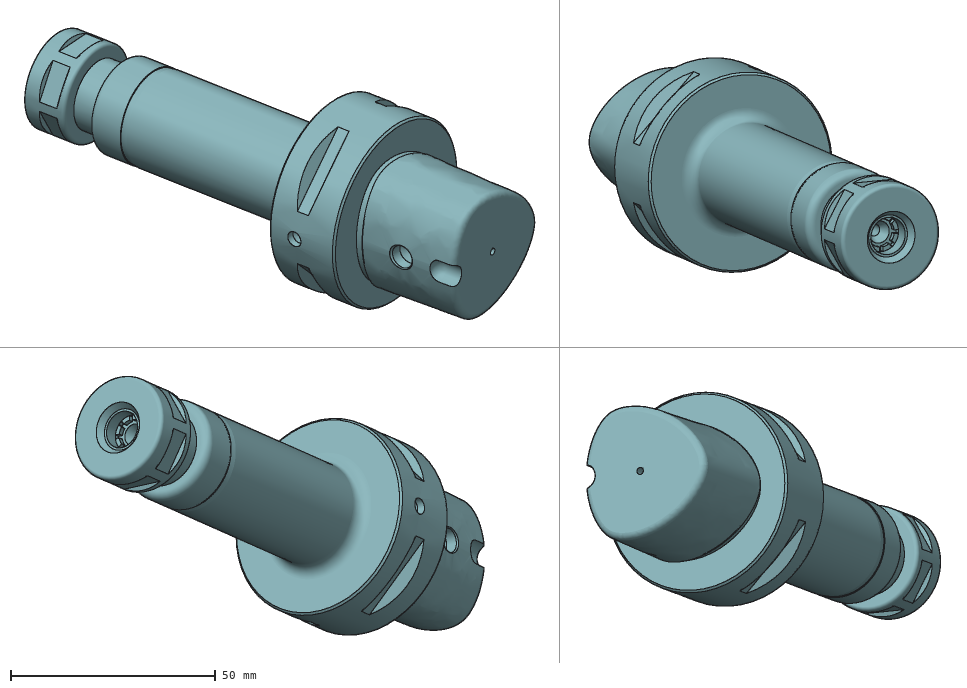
import cadquery as cq
import math


total_length = 135.0
nut_length = 12.8
body_start = 20.0
sleeve_end = 29.8
relief_end = 31.9
flange_start = 85.0
flange_width = 20.1
flange_end = flange_start + flange_width
shank_neck_length = 1.9
shank_start = flange_end + shank_neck_length

nut_diameter = 26.5
nut_edge_rounding = 1.0
nut_across_flats = 24.2
nut_flat_count = 6
nut_flat_center = 7.7
nut_flat_floor_width = 5.3
nut_flat_rim_width = 6.2

opening_diameter = 13.0
opening_cone_depth = 1.8
opening_cone_end_diameter = 10.5
collet_bore_diameter = 9.3
collet_floor_depth = 5.5
collet_recess_diameter = 7.0
collet_recess_depth = 1.4
collet_slit_count = 8
collet_slit_width = 1.0
collet_funnel_diameter = 5.5
collet_funnel_depth = 2.7
pilot_diameter = 3.0
pilot_depth = 4.0
through_hole_diameter = 1.8

neck_diameter = 19.0
body_diameter = 25.9
body_front_rounding = 2.0
relief_depth = 0.3
flange_fillet = 3.1

flange_diameter = 50.0
flange_chamfer = 0.5
gripper_slot_count = 4
gripper_slot_center = 94.6
gripper_slot_floor_width = 3.4
gripper_slot_rim_width = 6.8
gripper_slot_floor_distance = 22.1
index_hole_diameter = 4.0
index_hole_center = 92.9
index_hole_depth = 2.0
drill_tip_angle = 118.0
countersink_angle = 90.0

shank_radius = 17.4
shank_lobe = 1.2
shank_taper = 1 / 20
polygon_points = 24
shank_end_rounding = 1.6
shank_neck_radius = 16.9
shank_neck_lobe = 0.88
shank_hole_center = 119.0
shank_hole_diameter = 6.1
shank_hole_rim_diameter = 7.0
shank_hole_depth = 3.4
keyway_start = 127.7
keyway_width = 6.1
keyway_end_rounding = 2.7


def x_cylinder(diameter, start, end):
    """Cylinder on the X axis between two stations."""
    return cq.Workplane("YZ", origin=(start, 0, 0)).circle(diameter / 2).extrude(end - start)


def revolve_about_x(profile):
    return profile.close().revolve(360, (0, 0, 0), (1, 0, 0))


def make_rim_slots(count, first_angle, center, floor_width, rim_width, floor_distance, outer):
    """Flat-floored slots with sloping side walls, cut across a rim all around the X axis."""
    half_floor = floor_width / 2
    half_rim = rim_width / 2
    slot = (
        cq.Workplane("XZ", origin=(center, 0, 0))
        .moveTo(-half_floor, floor_distance)
        .lineTo(half_floor, floor_distance)
        .lineTo(half_rim, outer)
        .lineTo(-half_rim, outer)
        .close()
        .extrude(outer, both=True)
    )
    slots = cq.Workplane("XY")
    for index in range(count):
        slots = slots.union(slot.rotate((0, 0, 0), (1, 0, 0), first_angle + index * 360 / count))
    return slots


def make_nut():
    nut = x_cylinder(nut_diameter, 0, nut_length).edges().fillet(nut_edge_rounding)
    flats = make_rim_slots(
        nut_flat_count,
        0,
        nut_flat_center,
        nut_flat_floor_width,
        nut_flat_rim_width,
        nut_across_flats / 2,
        nut_diameter / 2,
    )
    return nut.cut(flats)


def make_collet_opening():
    """Cone, bore, recess, funnel and stepped central hole, all on the axis."""
    bore_radius = collet_bore_diameter / 2
    recess_radius = collet_recess_diameter / 2
    pilot_radius = pilot_diameter / 2
    through_radius = through_hole_diameter / 2
    recess_floor = collet_floor_depth + collet_recess_depth
    funnel_end = recess_floor + collet_funnel_depth
    pilot_end = funnel_end + pilot_depth
    return revolve_about_x(
        cq.Workplane("XY")
        .lineTo(0, opening_diameter / 2)
        .lineTo(opening_cone_depth, opening_cone_end_diameter / 2)
        .lineTo(opening_cone_depth, bore_radius)
        .lineTo(collet_floor_depth, bore_radius)
        .lineTo(collet_floor_depth, recess_radius)
        .lineTo(recess_floor, recess_radius)
        .lineTo(recess_floor, collet_funnel_diameter / 2)
        .lineTo(funnel_end, pilot_radius)
        .lineTo(pilot_end, pilot_radius)
        .lineTo(pilot_end, through_radius)
        .lineTo(total_length, through_radius)
        .lineTo(total_length, 0)
    )


def make_collet_slits():
    """Radial slits in the collet floor, level with the recess; each box makes two of them."""
    slits = cq.Workplane("XY")
    for index in range(collet_slit_count // 2):
        slit = cq.Workplane("XY", origin=(collet_floor_depth, 0, 0)).box(
            collet_recess_depth, collet_bore_diameter, collet_slit_width, centered=(False, True, True)
        )
        slits = slits.union(slit.rotate((0, 0, 0), (1, 0, 0), index * 360 / collet_slit_count))
    return slits


def make_body():
    """Neck, cylindrical body and flange as one turned profile."""
    neck_radius = neck_diameter / 2
    body_radius = body_diameter / 2
    flange_radius = flange_diameter / 2
    diagonal = math.sqrt(0.5)
    front_arc_middle = body_front_rounding * (1 - diagonal)
    fillet_arc_middle = flange_fillet * (1 - diagonal)
    return revolve_about_x(
        cq.Workplane("XY")
        .moveTo(nut_length, 0)
        .lineTo(nut_length, neck_radius)
        .lineTo(body_start, neck_radius)
        .lineTo(body_start, body_radius - body_front_rounding)
        .threePointArc(
            (body_start + front_arc_middle, body_radius - front_arc_middle),
            (body_start + body_front_rounding, body_radius),
        )
        .lineTo(sleeve_end, body_radius)
        .lineTo(sleeve_end, body_radius - relief_depth)
        .lineTo(relief_end, body_radius)
        .lineTo(flange_start - flange_fillet, body_radius)
        .threePointArc(
            (flange_start - fillet_arc_middle, body_radius + fillet_arc_middle),
            (flange_start, body_radius + flange_fillet),
        )
        .lineTo(flange_start, flange_radius - flange_chamfer)
        .lineTo(flange_start + flange_chamfer, flange_radius)
        .lineTo(flange_end - flange_chamfer, flange_radius)
        .lineTo(flange_end, flange_radius - flange_chamfer)
        .lineTo(flange_end, 0)
    )


def make_front_hole(x, surface, diameter, depth, tip_angle=drill_tip_angle):
    """Round hole entering from -Y, with a pointed bottom."""
    radius = diameter / 2
    bottom = -surface + depth
    tip = bottom + radius / math.tan(math.radians(tip_angle / 2))
    return (
        cq.Workplane("XY", origin=(x, 0, 0))
        .moveTo(0, -flange_diameter)
        .lineTo(radius, -flange_diameter)
        .lineTo(radius, bottom)
        .lineTo(0, tip)
        .close()
        .revolve(360, (0, 0, 0), (0, 1, 0))
    )


def polygon_wire(plane, radius, lobe):
    """Constant-width outline with three lobes, one of them pointing to +Y."""

    def point(index):
        angle = 2 * math.pi * index / polygon_points
        along = radius * math.cos(angle) + lobe * (2 * math.cos(2 * angle) - math.cos(4 * angle))
        across = radius * math.sin(angle) - lobe * (2 * math.sin(2 * angle) + math.sin(4 * angle))
        return along, across

    return plane.spline([point(index) for index in range(polygon_points)], periodic=True).close()


def make_shank():
    neck_plane = cq.Workplane("YZ", origin=(flange_end, 0, 0))
    neck = polygon_wire(neck_plane, shank_neck_radius, shank_neck_lobe).extrude(shank_neck_length)

    shank_length = total_length - shank_start
    end_radius = shank_radius - shank_length * shank_taper / 2
    shank = polygon_wire(cq.Workplane("YZ", origin=(shank_start, 0, 0)), shank_radius, shank_lobe)
    shank = polygon_wire(shank.workplane(offset=shank_length), end_radius, shank_lobe).loft(ruled=True)
    shank = shank.faces(">X").edges().fillet(shank_end_rounding)
    return neck.union(shank)


def shank_flat_side(x):
    """Distance from the axis to the -Y side of the shank at a station."""
    return shank_radius - shank_lobe - (x - shank_start) * shank_taper / 2


def make_keyway():
    """Round-bottomed notch along X in the -Y side of the shank end."""
    keyway = x_cylinder(keyway_width, keyway_start, total_length + keyway_width)
    keyway = keyway.faces("<X").edges().fillet(keyway_end_rounding)
    return keyway.translate((0, -shank_flat_side(total_length), 0))


def make_shank_hole():
    """Hole in the -Y side of the shank with a countersunk rim."""
    surface = shank_flat_side(shank_hole_center)
    hole = make_front_hole(shank_hole_center, surface, shank_hole_diameter, shank_hole_depth)
    rim = make_front_hole(shank_hole_center, surface, shank_hole_rim_diameter, 0, countersink_angle)
    return hole.union(rim)


gripper_slots = make_rim_slots(
    gripper_slot_count,
    180 / gripper_slot_count,
    gripper_slot_center,
    gripper_slot_floor_width,
    gripper_slot_rim_width,
    gripper_slot_floor_distance,
    flange_diameter / 2,
)
index_hole = make_front_hole(index_hole_center, flange_diameter / 2, index_hole_diameter, index_hole_depth)

result = make_body().union(make_nut()).union(make_shank())
result = result.cut(make_collet_opening()).cut(make_collet_slits())
result = result.cut(gripper_slots).cut(index_hole)
result = result.cut(make_shank_hole()).cut(make_keyway())